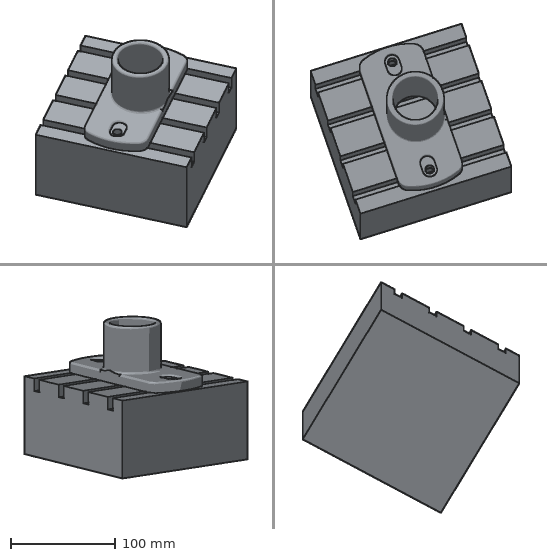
import cadquery as cq
import math

block_side = 152.4
block_height = 76.2
groove_count = 4
groove_pitch = block_side / groove_count
groove_width = 8.1
groove_depth = 12.2

plate_width = 64.0
plate_length = 146.0
plate_thickness = 10.5
plate_end_radius = 68.6
plate_corner_radius = 10.0
edge_round = 2.0

tube_diameter = 55.0
bore_diameter = 43.0
tube_top = 56.4
tube_radius = tube_diameter / 2
bore_radius = bore_diameter / 2
foot_radius = tube_radius + edge_round
tube_x = plate_width / 2 - tube_radius

screw_diameter = 8.4
screw_y = groove_pitch * (groove_count - 1) / 2
recess_y = 54.0
recess_width = 14.0
recess_length = 21.2
recess_depth = 2.1

round_middle = edge_round * (1 - math.sqrt(0.5))


def make_block():
    """Block with parallel grooves running along X through its top face."""
    block = cq.Workplane("XY").rect(block_side, block_side).extrude(-block_height)
    grooves = (
        cq.Workplane("XY")
        .rarray(1.5, groove_pitch, 1, groove_count)
        .rect(block_side, groove_width)
        .extrude(-groove_depth)
    )
    return block.cut(grooves)


def plate_blank(height):
    """Plate outline with bowed ends and rounded corners, extruded up from the block."""
    side_x = plate_width / 2
    tip_y = plate_length / 2
    end_bow = plate_end_radius - math.sqrt(plate_end_radius**2 - side_x**2)
    corner_y = tip_y - end_bow
    return (
        cq.Workplane("XY")
        .moveTo(side_x, -corner_y)
        .lineTo(side_x, corner_y)
        .threePointArc((0, tip_y), (-side_x, corner_y))
        .lineTo(-side_x, -corner_y)
        .threePointArc((0, -tip_y), (side_x, -corner_y))
        .close()
        .extrude(height)
        .edges("|Z")
        .fillet(plate_corner_radius)
    )


def make_plate():
    """Plate with a rounded top edge, left square where the foot of the tube reaches that edge."""
    plate = plate_blank(plate_thickness).faces(">Z").edges().fillet(edge_round)
    square_length = 2 * math.sqrt(foot_radius**2 - (tube_radius - edge_round) ** 2)
    square_edge = cq.Workplane("XY").box(
        plate_width / 2, square_length, plate_thickness, centered=(False, True, False)
    )
    return plate.union(square_edge)


def turned(profile):
    """Solid of revolution about the tube axis from a radius-height profile."""
    return profile.revolve(360, (0, 0, 0), (0, 1, 0)).translate((tube_x, 0, 0))


def make_tube():
    """Solid tube with a rounded rim and a concave foot, the foot trimmed to the plate outline."""
    tube = cq.Workplane("XY").center(tube_x, 0).circle(tube_radius).extrude(tube_top)
    tube = tube.faces(">Z").edges().fillet(edge_round)
    foot_top = plate_thickness + edge_round
    foot_profile = (
        cq.Workplane("XZ")
        .moveTo(0, plate_thickness)
        .lineTo(foot_radius, plate_thickness)
        .threePointArc(
            (tube_radius + round_middle, plate_thickness + round_middle),
            (tube_radius, foot_top),
        )
        .lineTo(0, foot_top)
        .close()
    )
    foot = turned(foot_profile).intersect(plate_blank(tube_top))
    return tube.union(foot)


def bore_cutter():
    """Through bore, flaring in a round at the tube rim."""
    bore_profile = (
        cq.Workplane("XZ")
        .lineTo(bore_radius, 0)
        .lineTo(bore_radius, tube_top - edge_round)
        .threePointArc(
            (bore_radius + round_middle, tube_top - round_middle),
            (bore_radius + edge_round, tube_top),
        )
        .lineTo(0, tube_top)
        .close()
    )
    return turned(bore_profile)


def cut_screw_recess(flange, side):
    """Shallow slotted recess with a rounded rim and a screw hole, at the +Y (1) or -Y (-1) end."""
    slot_y = side * recess_y
    recess = (
        cq.Workplane("XY", origin=(0, slot_y, plate_thickness))
        .slot2D(recess_length, recess_width, 90)
        .extrude(-recess_depth)
    )
    flange = flange.cut(recess)
    rim_reach = recess_length / 2
    rim_edges = cq.selectors.BoxSelector(
        (-rim_reach, slot_y - rim_reach, plate_thickness - recess_depth / 4),
        (rim_reach, slot_y + rim_reach, plate_thickness + recess_depth / 4),
    )
    flange = flange.edges(rim_edges).fillet(edge_round)
    screw_hole = (
        cq.Workplane("XY").center(0, side * screw_y).circle(screw_diameter / 2).extrude(plate_thickness)
    )
    return flange.cut(screw_hole)


def make_flange():
    """Plate and tube in one piece, bored through and recessed for two screws."""
    flange = make_plate().union(make_tube()).cut(bore_cutter())
    for side in (1, -1):
        flange = cut_screw_recess(flange, side)
    return flange


block = make_block()
flange = make_flange()
result = cq.Compound.makeCompound([block.solids().val(), flange.solids().val()])